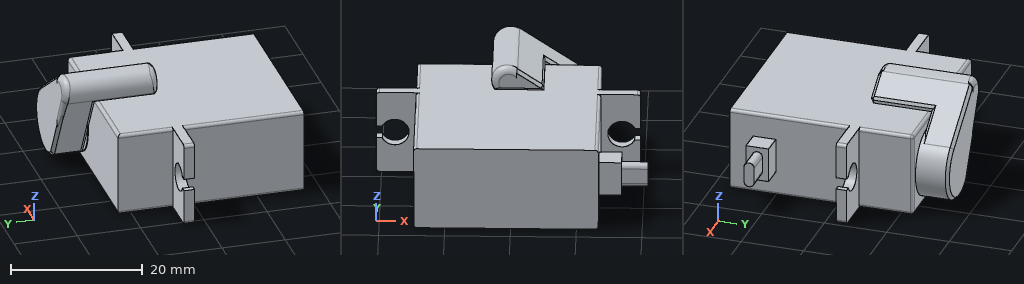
import cadquery as cq
import math


BODY_WIDTH = 28.1
BODY_DEPTH = 29.4
BODY_HEIGHT = 13.45
BODY_EDGE = 0.5

EAR_SPAN = 40.2
EAR_THICKNESS = 1.65
EAR_Y = 19.05
EAR_CORNER = 0.5
EAR_HOLE_DIAMETER = 4.3
EAR_HOLE_INSET = 2.83
EAR_SLOT_WIDTH = 1.9

CABLE_Y = 5.57
RELIEF_LENGTH = 3.45
RELIEF_DEPTH = 3.6
RELIEF_HEIGHT = 5.55
OVERALL_LENGTH = 41.6
CABLE_END_X = OVERALL_LENGTH - EAR_SPAN / 2
CABLE_THICKNESS = 1.62
CABLE_HEIGHT = 4.05

HORN_END_Y = 34.7
PLATE_Y = 29.55
ARM_Y = 19.68
HORN_EDGE = 0.5

HUB_X = 7.7
HUB_Z = -0.4
HUB_RADIUS = 5.35
HUB_FLAT_ANGLE = 231

TIP_X = -0.05
TIP_Z = 8.28
TIP_RADIUS = 2.55
TIP_ROUNDING = 1.15
TIP_ENVELOPE_RADIUS = 2.65

ENVELOPE_LEAN = 1.5
FADE_LENGTH = 6.65
FADE_END_X = 1.25

ARM_GAP = 0.12
ARM_END_X = 5.35
ARM_END_EDGE = 0.35


def box(x0, x1, y0, y1, z0, z1):
    return cq.Workplane("XY").box(x1 - x0, y1 - y0, z1 - z0, centered=False).translate((x0, y0, z0))


def xz_plane(y):
    """Workplane at the given y, extruding towards +Y; its local axes are -X and Z."""
    return cq.Workplane(cq.Plane(origin=(0, y, 0), xDir=(-1, 0, 0), normal=(0, 1, 0)))


def disc(x, z, radius, y0, y1):
    return xz_plane(y0).center(-x, z).circle(radius).extrude(y1 - y0)


def polar(x, z, radius, angle):
    return (x + radius * math.cos(math.radians(angle)), z + radius * math.sin(math.radians(angle)))


def make_housing():
    half_width = BODY_WIDTH / 2
    half_height = BODY_HEIGHT / 2
    half_span = EAR_SPAN / 2

    body = box(-half_width, half_width, 0, BODY_DEPTH, -half_height, half_height)
    rounded_edges = cq.selectors.StringSyntaxSelector("|Y or (>Y and (>Z or <Z)) or (>X and >Y)")
    body = body.edges(rounded_edges).fillet(BODY_EDGE)

    ears = box(-half_span, half_span, EAR_Y, EAR_Y + EAR_THICKNESS, -half_height, half_height)
    ears = ears.edges("|Y").fillet(EAR_CORNER)
    body = body.union(ears)

    for side in (-1, 1):
        hole_x = side * (half_span - EAR_HOLE_INSET)
        hole = disc(hole_x, 0, EAR_HOLE_DIAMETER / 2, EAR_Y, EAR_Y + EAR_THICKNESS)
        slot = box(
            min(hole_x, side * half_span), max(hole_x, side * half_span),
            EAR_Y, EAR_Y + EAR_THICKNESS, -EAR_SLOT_WIDTH / 2, EAR_SLOT_WIDTH / 2,
        )
        body = body.cut(hole).cut(slot)

    relief = box(
        half_width, half_width + RELIEF_LENGTH,
        CABLE_Y - RELIEF_DEPTH / 2, CABLE_Y + RELIEF_DEPTH / 2,
        -RELIEF_HEIGHT / 2, RELIEF_HEIGHT / 2,
    )
    cable = (
        cq.Workplane("YZ", origin=(half_width, CABLE_Y, 0))
        .slot2D(CABLE_HEIGHT, CABLE_THICKNESS, 90)
        .extrude(CABLE_END_X - half_width)
    )
    return body.union(relief).union(cable)


AXIS_LENGTH = math.hypot(HUB_X - TIP_X, HUB_Z - TIP_Z)
AXIS_ANGLE = math.degrees(math.atan2(HUB_Z - TIP_Z, HUB_X - TIP_X))
SLOPE_NORMAL = AXIS_ANGLE + 90 + math.degrees(math.asin((HUB_RADIUS - TIP_RADIUS) / AXIS_LENGTH))

FLAT_END_X, FLAT_END_Z = polar(HUB_X, HUB_Z, HUB_RADIUS, HUB_FLAT_ANGLE)
FLAT_END_DISTANCE = math.hypot(FLAT_END_X - TIP_X, FLAT_END_Z - TIP_Z)
FLAT_END_ANGLE = math.degrees(math.atan2(FLAT_END_Z - TIP_Z, FLAT_END_X - TIP_X))
TIP_FLAT_ANGLE = FLAT_END_ANGLE + 360 - math.degrees(math.acos(TIP_RADIUS / FLAT_END_DISTANCE))


def horn_prism(y0, y1):
    """Teardrop: tip arc, sloping upper side, hub arc and flat lower side."""
    def hub(angle):
        x, z = polar(HUB_X, HUB_Z, HUB_RADIUS, angle)
        return (-x, z)

    def tip(angle):
        x, z = polar(TIP_X, TIP_Z, TIP_RADIUS, angle)
        return (-x, z)

    hub_stop = HUB_FLAT_ANGLE - 360
    return (
        xz_plane(y0)
        .moveTo(*tip(TIP_FLAT_ANGLE))
        .threePointArc(tip((TIP_FLAT_ANGLE + SLOPE_NORMAL) / 2), tip(SLOPE_NORMAL))
        .lineTo(*hub(SLOPE_NORMAL))
        .threePointArc(hub((SLOPE_NORMAL + hub_stop) / 2), hub(hub_stop))
        .close()
        .extrude(y1 - y0)
    )


def make_tip_envelope():
    """Round-ended barrel around the tip, joined to a block that leaves the rest of the horn alone.

    The barrel is slot-shaped and leans away from the flat side, so the rounding fades out along it.
    """
    reach = 2 * HORN_END_Y
    depth = HORN_END_Y - ARM_Y
    offset = TIP_ENVELOPE_RADIUS - TIP_RADIUS
    lean = TIP_FLAT_ANGLE + 90 - ENVELOPE_LEAN
    start_x, start_z = polar(TIP_X, TIP_Z, offset, AXIS_ANGLE)
    middle_x, middle_z = polar(start_x, start_z, FADE_LENGTH / 2, lean)
    barrel = (
        xz_plane(ARM_Y)
        .center(-middle_x, middle_z)
        .slot2D(FADE_LENGTH + 2 * TIP_ENVELOPE_RADIUS, 2 * TIP_ENVELOPE_RADIUS, 180 - lean)
        .extrude(depth)
    )
    barrel = barrel.faces("<Y or >Y").edges().fillet(TIP_ROUNDING)
    return barrel.union(box(FADE_END_X, reach, ARM_Y, HORN_END_Y, -reach, reach))


def bevel(x, z, side_angle, y):
    """Wedge that chamfers the edge, at the given y, of a flat side facing side_angle through (x, z)."""
    normal_x, normal_z = polar(0, 0, 1, side_angle)
    normal = cq.Vector(normal_x, 0, normal_z)
    along = normal.cross(cq.Vector(0, 1, 0))
    profile = cq.Workplane(cq.Plane(origin=(x, y, z), xDir=normal, normal=along))
    wedge = [(-HORN_EDGE, 0), (HORN_EDGE, 0), (HORN_EDGE, 2 * HORN_EDGE)]
    return profile.polyline(wedge).close().extrude(2 * AXIS_LENGTH, both=True)


def make_horn():
    arm_bottom = BODY_HEIGHT / 2 + ARM_GAP
    slope_point = polar(TIP_X, TIP_Z, TIP_RADIUS, SLOPE_NORMAL)
    hub = disc(HUB_X, HUB_Z, HUB_RADIUS, PLATE_Y, HORN_END_Y)

    plate = horn_prism(PLATE_Y, HORN_END_Y)
    plate = plate.faces(">Y").edges().chamfer(HORN_EDGE)
    plate = plate.cut(bevel(*slope_point, SLOPE_NORMAL, PLATE_Y).cut(hub))
    plate = plate.cut(bevel(FLAT_END_X, FLAT_END_Z, TIP_FLAT_ANGLE, PLATE_Y))

    arm_space = box(-HUB_X, ARM_END_X, ARM_Y, HORN_END_Y - HORN_EDGE, arm_bottom, 2 * arm_bottom)
    arm = horn_prism(ARM_Y, HORN_END_Y - HORN_EDGE).intersect(arm_space)
    arm = arm.edges("|Y").edges(">X").edges(">Z").chamfer(ARM_END_EDGE)
    arm = arm.cut(bevel(*slope_point, SLOPE_NORMAL, ARM_Y))
    arm = arm.cut(bevel(TIP_X, arm_bottom, 270, ARM_Y))
    arm = arm.cut(bevel(ARM_END_X, arm_bottom, 0, ARM_Y))

    hub_face = disc(HUB_X, HUB_Z, HUB_RADIUS, BODY_DEPTH, PLATE_Y)
    return plate.union(arm).intersect(make_tip_envelope()).union(hub_face)


housing = make_housing()
horn = make_horn()
result = cq.Compound.makeCompound([housing.val(), horn.val()])